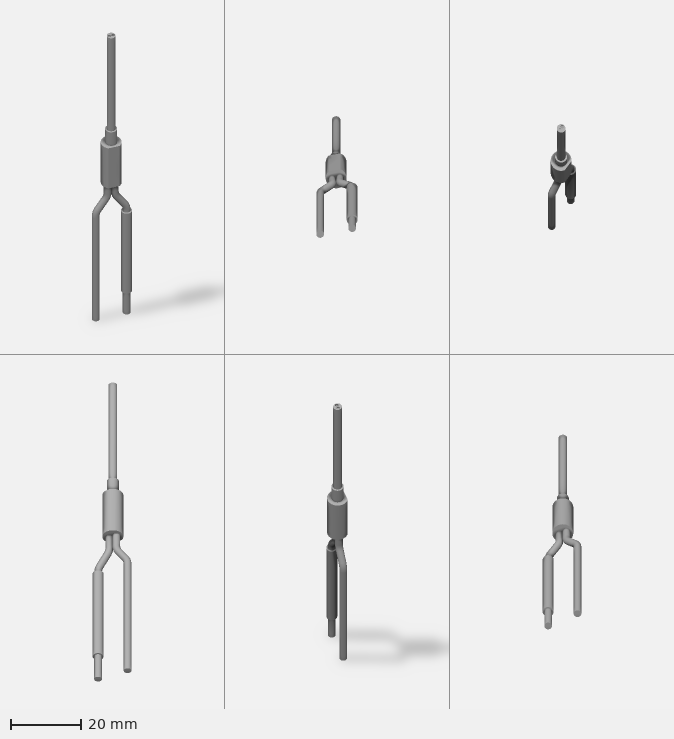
import cadquery as cq
import math

TOTAL_HEIGHT = 105
COLLAR_TOP = 70.1
BODY_TOP = 65.1
BODY_BOTTOM = 50.1
SPLIT_HEIGHT = 46.4
SLEEVE_TOP = 38.2
SLEEVE_BOTTOM = 8.2

CABLE_DIAMETER = 2.5
COLLAR_DIAMETER = 3.5
BODY_WIDTH_X = 5.5
BODY_DIAMETER = 6.0
CORE_DIAMETER = 1.0
CORE_SPACING = 1.2
CORE_RECESS_DEPTH = 0.5

BRANCH_DIAMETER = 2.2
SLEEVE_DIAMETER = 3.2
OVERALL_Y = 12.0
BRANCH_START_Y = BRANCH_DIAMETER / 2
BRANCH_END_Y = (OVERALL_Y - SLEEVE_DIAMETER / 2 - BRANCH_DIAMETER / 2) / 2
BRANCH_SHIFT = BRANCH_END_Y - BRANCH_START_Y
BEND_RADIUS = 4.1
BEND_ANGLE = math.radians(34)
BODY_OVERLAP = 2.1


def cylinder(diameter, bottom, top, y=0):
    """Vertical cylinder between two heights."""
    return cq.Workplane("XY", origin=(0, y, bottom)).circle(diameter / 2).extrude(top - bottom)


def branch(side):
    """Round branch that bends away toward side (+1 or -1 in Y), then hangs straight down."""
    bend_shift = BEND_RADIUS * (1 - math.cos(BEND_ANGLE))
    bend_drop = BEND_RADIUS * math.sin(BEND_ANGLE)
    slope_shift = BRANCH_SHIFT - 2 * bend_shift
    slope_drop = slope_shift / math.tan(BEND_ANGLE)
    total_drop = 2 * bend_drop + slope_drop
    mid_shift = BEND_RADIUS * (1 - math.cos(BEND_ANGLE / 2))
    mid_drop = BEND_RADIUS * math.sin(BEND_ANGLE / 2)

    def point(shift, drop):
        return (side * (BRANCH_START_Y + shift), SPLIT_HEIGHT - drop)

    start = (side * BRANCH_START_Y, BODY_BOTTOM + BODY_OVERLAP)
    path = (
        cq.Workplane("YZ")
        .moveTo(*start)
        .lineTo(*point(0, 0))
        .threePointArc(point(mid_shift, mid_drop), point(bend_shift, bend_drop))
        .lineTo(*point(bend_shift + slope_shift, bend_drop + slope_drop))
        .threePointArc(point(BRANCH_SHIFT - mid_shift, total_drop - mid_drop), point(BRANCH_SHIFT, total_drop))
        .lineTo(*point(BRANCH_SHIFT, SPLIT_HEIGHT))
    )
    profile = cq.Workplane("XY", origin=(0, start[0], start[1])).circle(BRANCH_DIAMETER / 2)
    return profile.sweep(path)


cable = cylinder(CABLE_DIAMETER, BODY_TOP, TOTAL_HEIGHT)
collar = cylinder(COLLAR_DIAMETER, BODY_TOP, COLLAR_TOP)
body_radius = BODY_DIAMETER / 2
flat_x = BODY_WIDTH_X - body_radius
flat_half_width = math.sqrt(body_radius**2 - flat_x**2)
body = (
    cq.Workplane("XY", origin=(0, 0, BODY_BOTTOM))
    .moveTo(flat_x, -flat_half_width)
    .lineTo(flat_x, flat_half_width)
    .threePointArc((-body_radius, 0), (flat_x, -flat_half_width))
    .close()
    .extrude(BODY_TOP - BODY_BOTTOM)
)
sleeved_branch = branch(1)
bare_branch = branch(-1)
sleeve = cylinder(SLEEVE_DIAMETER, SLEEVE_BOTTOM, SLEEVE_TOP, BRANCH_END_Y)

result = body.union(collar).union(cable).union(sleeved_branch).union(bare_branch).union(sleeve)

for core_y in (-CORE_SPACING / 2, CORE_SPACING / 2):
    core = cylinder(CORE_DIAMETER, TOTAL_HEIGHT - CORE_RECESS_DEPTH, TOTAL_HEIGHT, core_y)
    result = result.cut(core)